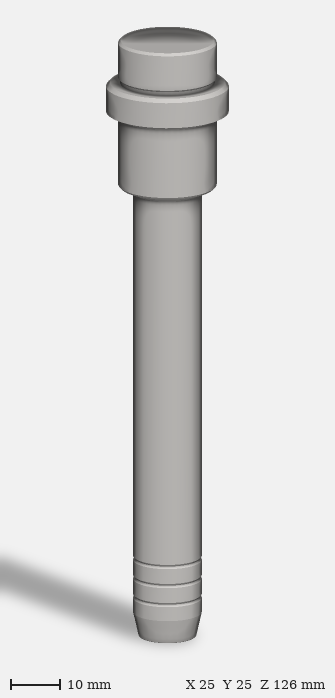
import cadquery as cq

length = 126.0
flange_diameter = 25.0
head_diameter = 20.0
shaft_diameter = 14.0
tip_diameter = 11.7

flange_top_depth = 9.0
flange_bottom_depth = 15.0
head_bottom_depth = 31.0

head_chamfer = 0.5
flange_chamfer = 0.8
relief_height = 1.1
relief_depth = 0.4

taper_height = 5.0
tip_round = 0.3

lowest_groove_height = 8.5
groove_pitch = 4.0
groove_count = 3
groove_width = 0.9
groove_depth = 0.4

flange_top = length - flange_top_depth
flange_bottom = length - flange_bottom_depth
head_bottom = length - head_bottom_depth


def cylinder(diameter, bottom, top):
    return cq.Workplane("XY").workplane(offset=bottom).circle(diameter / 2).extrude(top - bottom)


def relief(diameter, shoulder, direction):
    """Ring to cut: an undercut that starts square at a shoulder and flares out away from it.

    The direction is 1 when the undercut runs up from the shoulder and -1 when it runs down.
    """
    radius = diameter / 2
    floor_radius = radius - relief_depth
    profile = [
        (radius, shoulder),
        (floor_radius, shoulder),
        (floor_radius, shoulder + direction * (relief_height - relief_depth)),
        (radius, shoulder + direction * relief_height),
    ]
    return cq.Workplane("XZ").polyline(profile).close().revolve(360, (0, 0), (0, 1))


def v_groove(height):
    """Ring to cut: a V-shaped groove centred at the given height."""
    radius = shaft_diameter / 2
    half_width = groove_width / 2
    profile = [
        (radius, height - half_width),
        (radius - groove_depth, height),
        (radius, height + half_width),
    ]
    return cq.Workplane("XZ").polyline(profile).close().revolve(360, (0, 0), (0, 1))


head = cylinder(head_diameter, head_bottom, length).faces("<Z or >Z").chamfer(head_chamfer)
flange = cylinder(flange_diameter, flange_bottom, flange_top).faces(">Z").chamfer(flange_chamfer)
shaft = cylinder(shaft_diameter, taper_height, head_bottom)

tip = (
    cq.Workplane("XY")
    .circle(tip_diameter / 2)
    .workplane(offset=taper_height)
    .circle(shaft_diameter / 2)
    .loft(ruled=True)
    .faces("<Z")
    .edges()
    .fillet(tip_round)
)

result = head.union(flange).union(shaft).union(tip)

result = result.cut(relief(head_diameter, flange_top, 1))
result = result.cut(relief(head_diameter, flange_bottom, -1))
result = result.cut(relief(shaft_diameter, head_bottom, -1))

for index in range(groove_count):
    result = result.cut(v_groove(lowest_groove_height + index * groove_pitch))